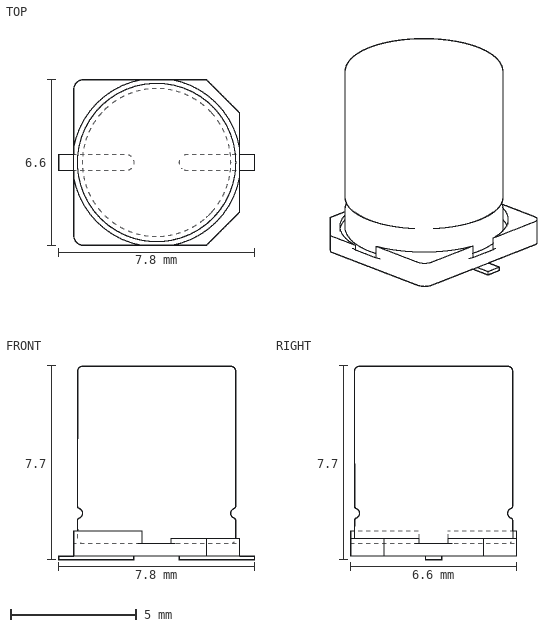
import cadquery as cq


lead_span = 7.8
lead_length = 3.0
lead_width = 0.65
lead_thickness = 0.15

base_side = 6.6
base_height = 1.0
base_corner_radius = 0.4
base_chamfer = 0.2 * base_side
low_side_drop = 0.3
recess_radius = 3.35
recess_floor_height = 0.5

overall_height = 7.7
can_radius = 6.3 / 2
can_edge_radius = 0.2
groove_radius = 0.2
groove_lip_radius = 0.1
groove_above_can_bottom = 1.2

base_bottom_z = lead_thickness
base_top_z = base_bottom_z + base_height
low_side_top_z = base_top_z - low_side_drop
can_bottom_z = base_bottom_z + recess_floor_height
can_height = overall_height - can_bottom_z
groove_z = can_bottom_z + groove_above_can_bottom


def make_base():
    """Square base: rounded -X corners, chamfered and lowered +X side, round recess for the can."""
    base = (
        cq.Workplane("XY")
        .workplane(offset=base_bottom_z)
        .rect(base_side, base_side)
        .extrude(base_height)
    )
    base = base.edges("|Z and <X").fillet(base_corner_radius)
    base = base.edges("|Z and >X").chamfer(base_chamfer)

    low_side_cut = (
        cq.Workplane("XY")
        .workplane(offset=low_side_top_z)
        .center(base_side / 2, 0)
        .rect(base_side, base_side)
        .extrude(low_side_drop)
    )
    recess = (
        cq.Workplane("XY")
        .workplane(offset=can_bottom_z)
        .circle(recess_radius)
        .extrude(base_top_z - can_bottom_z)
    )
    return base.cut(low_side_cut).cut(recess)


def make_can():
    """Cylinder with rounded ends and a round crimp groove with softened lips."""
    can = (
        cq.Workplane("XY")
        .workplane(offset=can_bottom_z)
        .circle(can_radius)
        .extrude(can_height)
    )
    can = can.faces("<Z or >Z").edges().fillet(can_edge_radius)

    groove_ring = cq.Workplane(
        cq.Solid.makeTorus(can_radius, groove_radius, cq.Vector(0, 0, groove_z), cq.Vector(0, 0, 1))
    )
    can = can.cut(groove_ring)

    band_half_width = can_radius + groove_radius
    band_half_height = groove_radius + groove_lip_radius
    groove_lips = cq.selectors.BoxSelector(
        (-band_half_width, -band_half_width, groove_z - band_half_height),
        (band_half_width, band_half_width, groove_z + band_half_height),
    )
    return can.edges(groove_lips).edges("%CIRCLE").fillet(groove_lip_radius)


def make_lead(side):
    """Flat lead under the base with a rounded inner end; side is -1 or +1 along X."""
    outer_x = side * lead_span / 2
    inner_x = outer_x - side * lead_length
    half_width = lead_width / 2
    round_start_x = inner_x + side * half_width
    return (
        cq.Workplane("XY")
        .moveTo(outer_x, -half_width)
        .lineTo(round_start_x, -half_width)
        .threePointArc((inner_x, 0), (round_start_x, half_width))
        .lineTo(outer_x, half_width)
        .close()
        .extrude(lead_thickness)
    )


result = make_base().union(make_can())
for side in (-1, 1):
    result = result.union(make_lead(side))